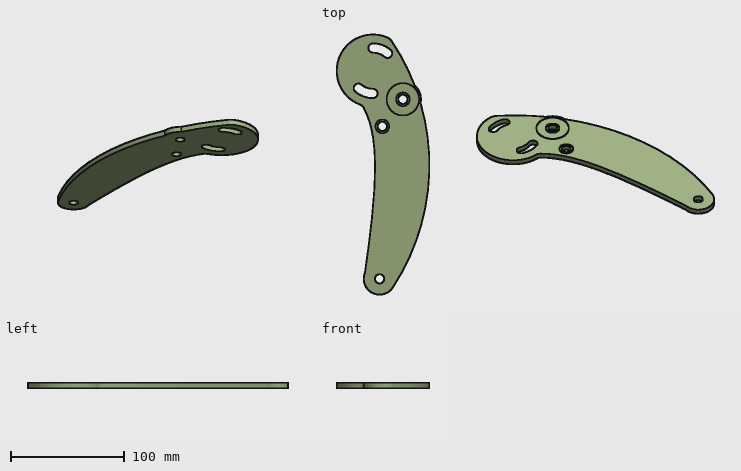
import cadquery as cq
import math

thickness = 5.0
hole_diameter = 8.0
tip_hole_center = (0.0, 0.0)

tip_radius = 14.0

head_center = (-5.8, 183.0)
head_radius = 32.0

pivot_center = (20.5, 157.9)
pivot_outer_radius = 16.0

recess_depth = 0.5
seat_diameter = 12.0
pivot_recess_diameter = 28.5
side_hole_center = (2.4, 134.1)

outer_edge_radius = 196.0
outer_edge_max_x = 43.92
outer_edge_center_x = outer_edge_max_x - outer_edge_radius
outer_edge_center_y = math.sqrt((outer_edge_radius - tip_radius) ** 2 - outer_edge_center_x ** 2)
outer_edge_center = (outer_edge_center_x, outer_edge_center_y)

neck_angle = 252.8
inner_edge_upper_control = (1.4, 125.3)
inner_edge_lower_control = (-2.9, 75.6)
inner_edge_end_y = 5.3
neck_fillet_radius = 5.0

crown_fillet_radius = 10.0

slot_path_radius = 20.0
slot_width = 8.0
slot_start_angle = 50.0
slot_sweep = 40.0
slot_turns = (0.0, 180.0)


def polar(center, radius, angle):
    """Point at a given radius and angle (degrees) from a centre."""
    a = math.radians(angle)
    return (center[0] + radius * math.cos(a), center[1] + radius * math.sin(a))


def cylinder(center, radius, bottom=0.0):
    """Upright cylinder from the given height to the top face."""
    base = cq.Workplane("XY", origin=(center[0], center[1], bottom))
    return base.circle(radius).extrude(thickness - bottom)


def round_corner(plate, corner, radius):
    """Fillet the upright edge that stands on an outline corner."""
    edge_middle = (corner[0], corner[1], thickness / 2)
    return plate.edges("|Z").edges(cq.selectors.NearestToPointSelector(edge_middle)).fillet(radius)


def make_plate():
    """Flat outline extruded to full thickness, with both head corners rounded."""
    offset_x = outer_edge_center_x - head_center[0]
    offset_y = outer_edge_center_y - head_center[1]
    distance = math.hypot(offset_x, offset_y)
    cosine = (distance ** 2 + head_radius ** 2 - outer_edge_radius ** 2) / (2 * distance * head_radius)
    crown_angle = math.degrees(math.atan2(offset_y, offset_x) - math.acos(cosine)) % 360
    crown = polar(head_center, head_radius, crown_angle)
    neck = polar(head_center, head_radius, neck_angle)
    head_left = polar(head_center, head_radius, (crown_angle + neck_angle) / 2)

    inner_end = (-math.sqrt(tip_radius ** 2 - inner_edge_end_y ** 2), inner_edge_end_y)

    tip_angle = math.degrees(math.atan2(-outer_edge_center_y, -outer_edge_center_x))
    outer_bottom = polar(outer_edge_center, outer_edge_radius, tip_angle)
    outer_middle = polar(outer_edge_center, outer_edge_radius, 0)

    plate = (
        cq.Workplane("XY")
        .moveTo(*crown)
        .threePointArc(head_left, neck)
        .bezier([inner_edge_upper_control, inner_edge_lower_control, inner_end], includeCurrent=True)
        .threePointArc((0, -tip_radius), outer_bottom)
        .threePointArc(outer_middle, crown)
        .close()
        .extrude(thickness)
    )
    plate = round_corner(plate, crown, crown_fillet_radius)
    plate = round_corner(plate, neck, neck_fillet_radius)
    return plate.union(cylinder(pivot_center, pivot_outer_radius))


def make_slot(turn):
    """Curved slot with round ends, turned about the head's centre."""
    start = slot_start_angle + turn
    middle = start + slot_sweep / 2
    end = start + slot_sweep
    half_width = slot_width / 2
    inner_radius = slot_path_radius - half_width
    outer_radius = slot_path_radius + half_width
    slot = (
        cq.Workplane("XY")
        .moveTo(*polar(head_center, inner_radius, start))
        .threePointArc(polar(head_center, inner_radius, middle), polar(head_center, inner_radius, end))
        .lineTo(*polar(head_center, outer_radius, end))
        .threePointArc(polar(head_center, outer_radius, middle), polar(head_center, outer_radius, start))
        .close()
        .extrude(thickness)
    )
    for angle in (start, end):
        slot = slot.union(cylinder(polar(head_center, slot_path_radius, angle), half_width))
    return slot


def make_pivot_recess():
    """Ring-shaped recess that leaves a raised seat around the pivot hole."""
    floor = thickness - recess_depth
    ring = cylinder(pivot_center, pivot_recess_diameter / 2, floor)
    return ring.cut(cylinder(pivot_center, seat_diameter / 2, floor))


result = make_plate()
for slot_turn in slot_turns:
    result = result.cut(make_slot(slot_turn))
result = result.cut(make_pivot_recess())
result = result.cut(cylinder(side_hole_center, seat_diameter / 2, thickness - recess_depth))
for hole_center in (tip_hole_center, side_hole_center, pivot_center):
    result = result.cut(cylinder(hole_center, hole_diameter / 2))